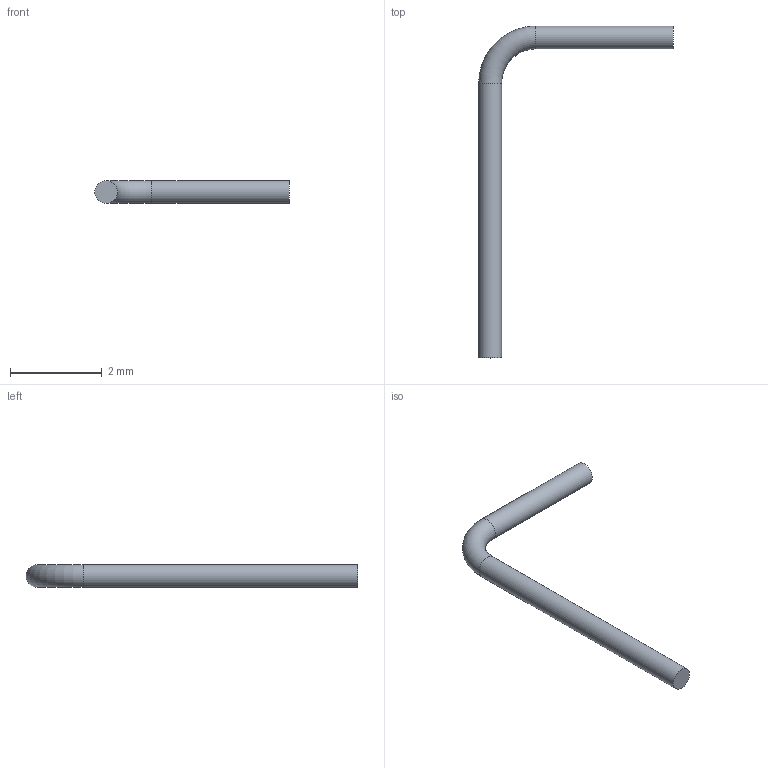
import cadquery as cq

wire_diameter = 0.5
bend_radius = 1.0
long_leg_length = 6.0
short_leg_length = 3.0


def wire_centreline():
    """Up the Y leg, round the quarter bend, then out along the X leg."""
    bend_end_x = bend_radius
    bend_end_y = long_leg_length + bend_radius
    return (
        cq.Workplane("XY")
        .lineTo(0, long_leg_length)
        .radiusArc((bend_end_x, bend_end_y), bend_radius)
        .lineTo(bend_end_x + short_leg_length, bend_end_y)
    )


def bent_wire():
    """Sweep the round wire section, square to the Y leg, along the centreline."""
    section = cq.Workplane("XZ").circle(wire_diameter / 2)
    return section.sweep(wire_centreline())


result = bent_wire()